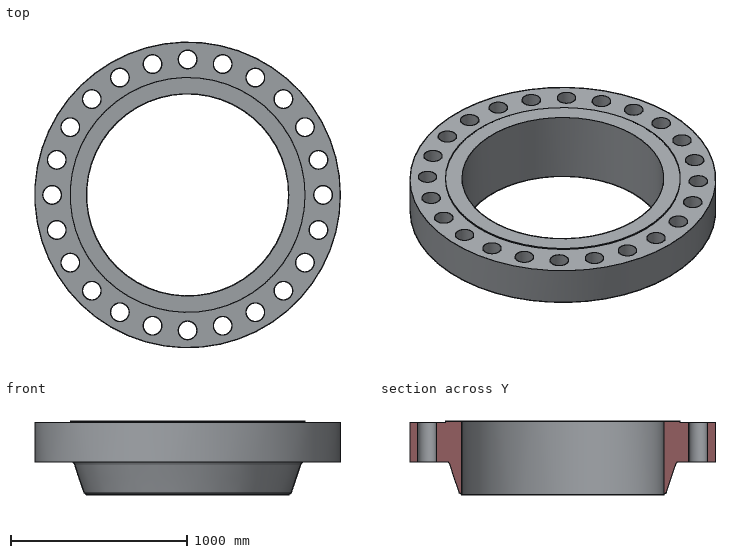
import cadquery as cq

flange_radius = 867.0
flange_thickness = 225.0
face_radius = 665.0
face_height = 7.0
bore_radius = 572.0
hub_height = 185.0

hub_root_radius = 647.0
hub_end_radius = 588.0
root_fillet = 15.0
weld_bevel_height = 10.0
weld_land_width = 2.0

bolt_count = 24
bolt_circle_radius = 768.0
bolt_hole_diameter = 104.0

flange_top = hub_height + flange_thickness
face_top = flange_top + face_height


def make_body():
    """Revolve the half section of the hub, flange and raised face."""
    section = (
        cq.Workplane("XZ")
        .moveTo(bore_radius, 0)
        .lineTo(bore_radius + weld_land_width, 0)
        .lineTo(hub_end_radius, weld_bevel_height)
        .lineTo(hub_root_radius, hub_height)
        .lineTo(flange_radius, hub_height)
        .lineTo(flange_radius, flange_top)
        .lineTo(face_radius, flange_top)
        .lineTo(face_radius, face_top)
        .lineTo(bore_radius, face_top)
        .close()
    )
    return section.revolve(360, (0, 0, 0), (0, 1, 0))


def round_hub_root(body):
    """Fillet the circle where the hub meets the back of the flange."""
    hub_root = cq.selectors.RadiusNthSelector(-3)
    root_edges = body.edges("%CIRCLE").edges(hub_root)
    return root_edges.fillet(root_fillet)


def make_bolt_holes():
    """Cylinders on the bolt circle, passing through the flange."""
    return (
        cq.Workplane("XY", origin=(0, 0, hub_height))
        .polarArray(bolt_circle_radius, 0, 360, bolt_count)
        .circle(bolt_hole_diameter / 2)
        .extrude(flange_thickness)
    )


result = round_hub_root(make_body()).cut(make_bolt_holes())